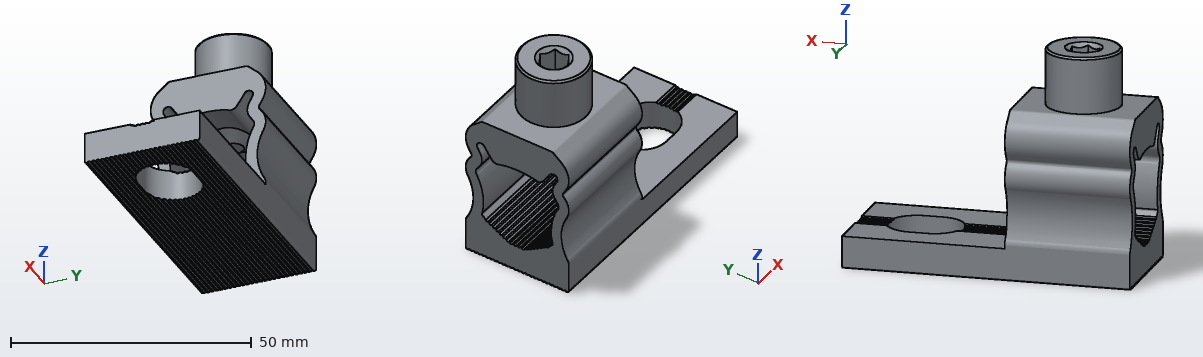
import cadquery as cq
import math

length = 62.0
width = 26.0
half_width = width / 2
clamp_length = 27.0
plate_height = 6.95
clamp_top = 35.8
bottom_corner_radius = 0.5

bottom_teeth = 26
bottom_grooves = bottom_teeth - 1
groove_pitch = width / bottom_teeth
groove_radius = 0.3
groove_depth = 0.22
groove_lift = groove_radius - groove_depth

valley_floor = 6.6
valley_half_flat = 1.85
valley_angle = math.radians(30)
valley_side_grooves = 9

slot_length = 16.35
slot_width = 12.6
slot_center = 47.5

screw_center = clamp_length / 2
screw_radius = 8.0
screw_top = 47.9
screw_chamfer = 0.45
tip_radius = 2.25
tip_bottom = 24.85
tip_angle = math.radians(30)
tip_height = (screw_radius - tip_radius) * math.tan(tip_angle)
hex_flats = 6.0
hex_depth = 6.0
hex_diameter = hex_flats / math.cos(math.radians(30))
countersink_radius = 3.95


def valley_point(distance, lift=0.0):
    """(y, z) at a distance along the valley surface from its centre, raised square to the surface."""
    if distance <= valley_half_flat:
        return distance, valley_floor + lift
    run = distance - valley_half_flat
    y = valley_half_flat + run * math.cos(valley_angle) - lift * math.sin(valley_angle)
    z = valley_floor + run * math.sin(valley_angle) + lift * math.cos(valley_angle)
    return y, z


def make_outer_body():
    """Outer outline of the clamp, run over the full length."""
    corner_mid = bottom_corner_radius * (1 - math.sqrt(0.5))
    half_outline = (
        cq.Workplane("YZ")
        .moveTo(0, 0)
        .lineTo(half_width - bottom_corner_radius, 0)
        .threePointArc((half_width - corner_mid, corner_mid), (half_width, bottom_corner_radius))
        .lineTo(half_width, 7.7)
        .threePointArc((12.85, 8.25), (12.5, 8.8))
        .threePointArc((11.1, 13.95), (12.3, 19.45))
        .threePointArc((half_width, 21.9), (11.8, 24.9))
        .threePointArc((11.5, 25.5), (11.65, 26.05))
        .lineTo(12.3, 27.15)
        .threePointArc((half_width, 29.8), (10.7, 34.2))
        .lineTo(9.25, 35.45)
        .threePointArc((8.85, 35.7), (8.5, clamp_top))
        .lineTo(0, clamp_top)
    )
    return half_outline.mirrorY().extrude(length)


def make_cavity():
    """Conductor opening: valley, curved walls, relief channels and arched roof."""
    valley_end = valley_point(valley_side_grooves * groove_pitch)
    half_outline = (
        cq.Workplane("YZ")
        .moveTo(0, valley_floor)
        .lineTo(*valley_point(valley_half_flat))
        .lineTo(*valley_end)
        .lineTo(8.75, 10.8)
        .threePointArc((8.85, 11.05), (8.8, 11.35))
        .threePointArc((8.5, 14.3), (10.1, 20.9))
        .threePointArc((10.4, 21.8), (10.15, 22.55))
        .lineTo(9.55, 23.45)
        .threePointArc((8.85, 25.5), (9.35, 27.15))
        .lineTo(9.9, 28.2)
        .threePointArc((9.25, 29.9), (8.3, 29.5))
        .lineTo(6.5, 26.85)
        .threePointArc((5.7, 26.2), (4.4, 26.35))
        .threePointArc((2.25, 26.7), (0, 26.85))
    )
    return half_outline.mirrorY().extrude(length)


def make_grooves():
    """Round cutters for the serrations of the underside and the valley."""
    centers = []
    for index in range(bottom_grooves):
        centers.append(((index - (bottom_grooves - 1) / 2) * groove_pitch, -groove_lift))
    for index in range(valley_side_grooves):
        y, z = valley_point((index + 0.5) * groove_pitch, groove_lift)
        centers += [(y, z), (-y, z)]
    return cq.Workplane("YZ").pushPoints(centers).circle(groove_radius).extrude(length)


def make_space_above_plate():
    """Cutter for all space beyond the clamp and above the plate, oversized on its open sides."""
    return (
        cq.Workplane("XY")
        .box(length, 2 * width, clamp_top, centered=(False, True, False))
        .translate((clamp_length, 0, plate_height))
    )


def make_slot():
    """Cutter for the fixing slot, through the plate."""
    return (
        cq.Workplane("XY")
        .center(slot_center, 0)
        .slot2D(slot_length, slot_width)
        .extrude(plate_height)
    )


def make_screw():
    """Headless screw with a conical tip and a countersunk hexagon socket."""
    screw = (
        cq.Workplane("XZ")
        .moveTo(0, tip_bottom)
        .lineTo(tip_radius, tip_bottom)
        .lineTo(screw_radius, tip_bottom + tip_height)
        .lineTo(screw_radius, screw_top - screw_chamfer)
        .lineTo(screw_radius - screw_chamfer, screw_top)
        .lineTo(0, screw_top)
        .close()
        .revolve(360, (0, 0, 0), (0, 1, 0))
    )
    socket = (
        cq.Workplane("XY", origin=(0, 0, screw_top - hex_depth))
        .transformed(rotate=(0, 0, 90))
        .polygon(6, hex_diameter)
        .extrude(hex_depth)
    )
    countersink = cq.Workplane(
        cq.Solid.makeCone(0, countersink_radius, countersink_radius)
    ).translate((0, 0, screw_top - countersink_radius))
    return screw.cut(socket).cut(countersink).translate((screw_center, 0, 0))


clamp = make_outer_body().cut(make_cavity()).cut(make_grooves())
clamp = clamp.cut(make_space_above_plate()).cut(make_slot())
result = clamp.union(make_screw())